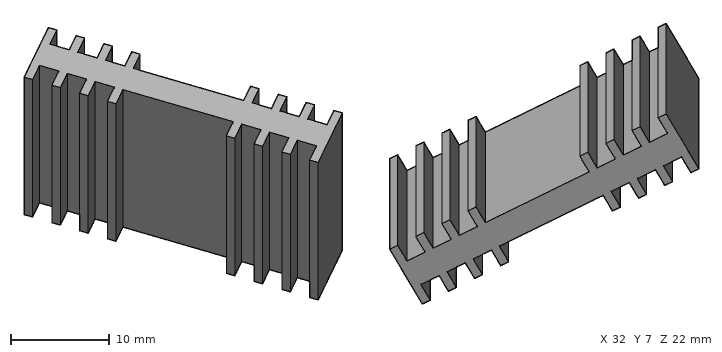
import cadquery as cq

width = 32.0
depth = 7.0
height = 22.0

web_thickness = 3.0
fin_thickness = 0.93
fins_per_side = 4
center_gap = 12.0

outer_fin_x = (width - fin_thickness) / 2
inner_fin_x = (center_gap + fin_thickness) / 2
fin_pitch = (outer_fin_x - inner_fin_x) / (fins_per_side - 1)


def upright_plate(size_x, size_y, center_x=0.0):
    """Full-height plate centred on the X axis line at center_x."""
    return cq.Workplane("XY").box(size_x, size_y, height).translate((center_x, 0, 0))


result = upright_plate(width, web_thickness)
for index in range(fins_per_side):
    fin_x = inner_fin_x + index * fin_pitch
    for side in (-1, 1):
        result = result.union(upright_plate(fin_thickness, depth, side * fin_x))